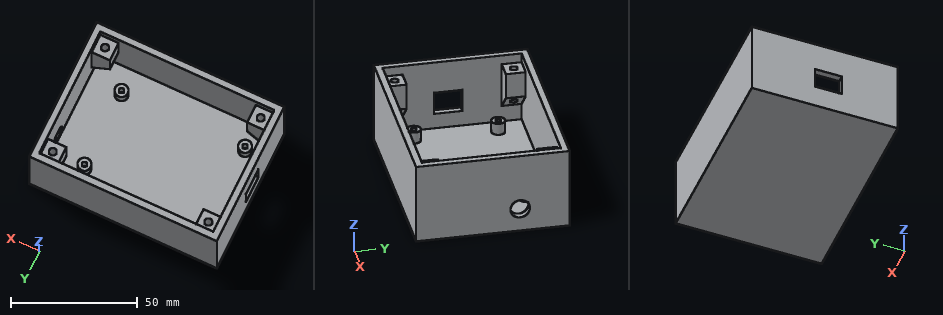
import cadquery as cq

length = 82.0
width = 62.0
height = 34.0
wall = 3.0
floor = 4.0
inner_length = length - 2 * wall
inner_width = width - 2 * wall

post_size = 8.0
post_top = height - 4.0
post_side_height = 11.0
post_slope_drop = 8.0
post_hole_diameter = 3.1

standoff_diameter = 5.5
standoff_hole_diameter = 2.1
standoff_height = 5.0
standoff_spacing_x = 54.0
standoff_spacing_y = 34.0
standoff_center_x = -3.5

window_width = 11.4
window_height = 9.5
window_center_y = -1.55
window_bottom = 10.6

port_diameter = 7.8
port_center_y = 11.0
port_center_z = 10.0


def make_shell():
    """Open-topped box with flat walls and floor."""
    outside = cq.Workplane("XY").box(length, width, height, centered=(True, True, False))
    cavity = (
        cq.Workplane("XY")
        .workplane(offset=floor)
        .box(inner_length, inner_width, height - floor, centered=(True, True, False))
    )
    return outside.cut(cavity)


def make_post(side_x, side_y):
    """Corner post whose sloped underside runs down to the end wall."""
    wall_x = side_x * inner_length / 2
    free_x = wall_x - side_x * post_size
    slope_start = post_top - post_side_height
    slope_end = slope_start - post_slope_drop
    center_y = side_y * (inner_width - post_size) / 2
    body = (
        cq.Workplane("XZ", origin=(0, center_y, 0))
        .polyline([(wall_x, post_top), (free_x, post_top), (free_x, slope_start), (wall_x, slope_end)])
        .close()
        .extrude(post_size / 2, both=True)
    )
    hole = (
        cq.Workplane("XY", origin=((wall_x + free_x) / 2, center_y, slope_end))
        .circle(post_hole_diameter / 2)
        .extrude(post_top - slope_end)
    )
    return body.cut(hole)


def make_standoffs():
    """Four hollow pillars standing on the floor."""
    return (
        cq.Workplane("XY", origin=(standoff_center_x, 0, floor))
        .rarray(standoff_spacing_x, standoff_spacing_y, 2, 2)
        .circle(standoff_diameter / 2)
        .circle(standoff_hole_diameter / 2)
        .extrude(standoff_height)
    )


def make_window():
    """Cutter for the rectangular opening in the -X wall."""
    window_center_z = window_bottom + window_height / 2
    return cq.Workplane("XY", origin=((wall - length) / 2, window_center_y, window_center_z)).box(
        wall, window_width, window_height
    )


def make_port():
    """Cutter for the round opening in the +X wall."""
    return (
        cq.Workplane("YZ", origin=(inner_length / 2, port_center_y, port_center_z))
        .circle(port_diameter / 2)
        .extrude(wall)
    )


result = make_shell()
for side_x in (-1, 1):
    for side_y in (-1, 1):
        result = result.union(make_post(side_x, side_y))
result = result.union(make_standoffs())
result = result.cut(make_window()).cut(make_port())